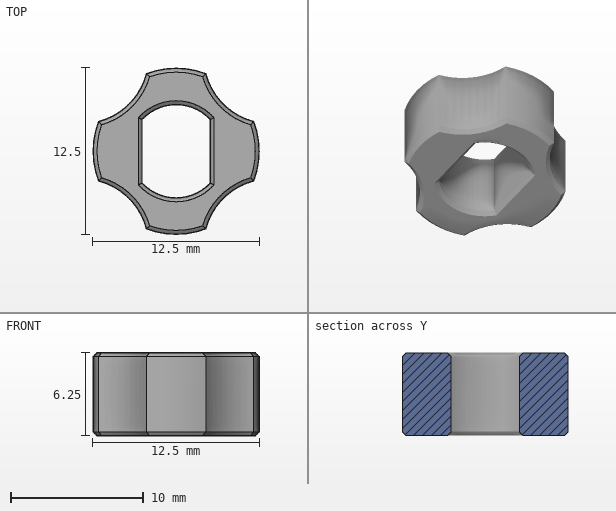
import cadquery as cq
import math

outer_diameter = 12.5
height = outer_diameter / 2
lobe_count = 4
scallop_radius = 5.0
lobe_half_width = 2.24
bore_diameter = 7.0
bore_across_flats = 5.1
edge_chamfer = 0.3

outer_radius = outer_diameter / 2
lobe_corner_reach = math.sqrt(outer_radius**2 - lobe_half_width**2)
scallop_half_chord = (lobe_corner_reach - lobe_half_width) / math.sqrt(2)
chord_distance = (lobe_corner_reach + lobe_half_width) / math.sqrt(2)
scallop_center_distance = chord_distance + math.sqrt(scallop_radius**2 - scallop_half_chord**2)
first_scallop_angle = 180 / lobe_count


def make_lobed_body():
    """Round disc with a scallop cut away between each pair of lobes."""
    disc = cq.Workplane("XY").circle(outer_radius).extrude(height)
    scallops = (
        cq.Workplane("XY")
        .polarArray(scallop_center_distance, first_scallop_angle, 360, lobe_count)
        .circle(scallop_radius)
        .extrude(height)
    )
    return disc.cut(scallops)


def make_bore():
    """Through bore: a cylinder trimmed by two flats facing along X."""
    cylinder = cq.Workplane("XY").circle(bore_diameter / 2).extrude(height)
    flats = (
        cq.Workplane("XY")
        .rect(bore_across_flats, bore_diameter)
        .extrude(height)
    )
    return cylinder.intersect(flats)


def chamfer_rims(part):
    """Chamfer the outer and bore edges of both end faces."""
    return part.faces("<Z or >Z").edges().chamfer(edge_chamfer)


result = chamfer_rims(make_lobed_body().cut(make_bore()))